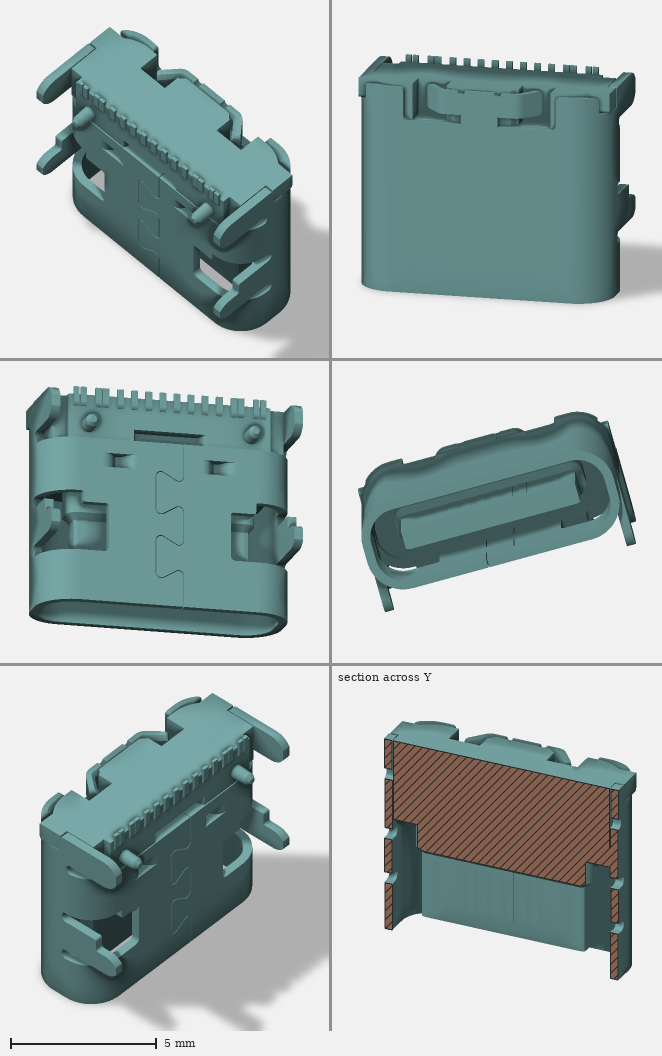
import cadquery as cq
import math


EPS = 0.02
FAR = 10.73

width = 8.94
depth = 3.16
corner_radius = 1.28
wall = 0.31
side_top = 7.35
back_top = 7.28
front_top = 5.81
lip_width = 0.12
lip_height = 0.16
rim_radius = 0.125
half_width = width / 2
half_depth = depth / 2
inner_x = half_width - wall
inner_y = half_depth - wall
inner_radius = corner_radius - wall
corner_center_x = half_width - corner_radius

leg_tip_y = -2.575
leg_slot_height = 0.4
slot_end_radius = 0.18
upper_leg_bottom = 6.21
upper_leg_root_y = -0.295
upper_leg_tip_height = 0.43
upper_leg_tip_length = 0.58
lower_leg_bottom = 2.19
lower_leg_top = 3.505
lower_leg_root_y = -0.08
lower_leg_neck_top = 3.0
lower_leg_shoulder_y = -1.66
shoulder_radius = 0.08
lower_leg_tip_height = 0.35
lower_leg_tip_length = 0.48

window_bottom = lower_leg_bottom - leg_slot_height
window_top = lower_leg_top + leg_slot_height
window_inner_x = 2.16
window_step_x = 3.07
window_radius = 0.18
window_step_radius = 0.08
window_back_y = lower_leg_root_y - slot_end_radius
window_corner_radius = 0.11

seam_x = 0.49
seam_gap = 0.03
seam_angle = 30.0
seam_radius = 0.18
seam_first_tooth_top = 4.92
seam_tooth_length = 1.78
seam_pitch = 2.29
seam_tooth_count = 2

groove_x = 1.75
groove_bottom = 4.81
groove_height = 0.5
groove_floor_width = 0.2
groove_depth = 0.4
groove_outer_radius = 0.5
groove_outer_angle = 61.0
groove_outer_run = 0.1
groove_inner_radius = 0.375
groove_inner_angle = 55.0
groove_inner_run = 0.19

slot_half_width = 2.71
slot_floor = 6.08
slot_radius = 0.21
spring_bottom = 6.44
spring_stem_half = 0.64
spring_notch_radius = 0.125
spring_bend_x = 1.4
spring_angle = 50.0
spring_wing_length = 0.98
spring_bend_radius = 0.45
spring_corner_radius = 0.13

housing_bottom = 4.29
housing_half_width = 4.12
housing_front = -1.54
housing_step_x = 3.585
housing_step_y = -1.23
ear_half_width = 4.45
ear_back = 0.95
ear_front = -0.01
ear_bottom = 6.65
ear_radius = 0.13
notch_back = 1.16
arch_rim_x = 4.02
pocket_x = 1.86
pocket_width = 1.19
pocket_front = 0.45
pocket_bevel = 0.17
pocket_step = 0.06
pocket_floor = 6.08
arch_start_x = 2.99
arch_middle_x = 3.42
arch_middle_y = 1.15
arch_end_x = 3.77
recess_half_width = 1.27
recess_floor_half_width = 1.11
recess_top = 6.22
recess_depth = 0.45

base_half_width = 3.34
base_half_thick = 0.61
base_edge_radius = 0.4
base_end = 3.415
tongue_half_width = 3.1
tongue_half_thick = 0.37
tongue_bevel_width = 0.13
tongue_bevel_drop = 0.04
tongue_slope_end = 3.18
tongue_tip = 0.715
contact_pitch = 0.5
contact_width = 0.295
contact_height = 0.01
contact_tip = 1.25
contact_places = (-5.5, -2.5, -1.5, -0.5, 0.5, 1.5, 2.5, 5.5)

tail_top = 7.6
tail_bottom = 6.9
tail_front = -1.63
tail_thick = 0.12
outer_tail_width = 0.2
single_tail_count = 8
single_tail_width = 0.22
tail_bend_radius = 0.19
tail_root_depth = 0.22
pair_pitch = contact_pitch / 2
inner_pair_x = 2.405
outer_pair_x = 3.19
peg_x = 2.89
peg_z = 6.28
peg_root_radius = 0.26
peg_end_radius = 0.22
peg_tip_radius = 0.12
peg_shoulder_y = -2.14
peg_tip_y = -2.29


def box(x0, x1, y0, y1, z0, z1):
    """Box between two corners."""
    return cq.Workplane("XY").box(x1 - x0, y1 - y0, z1 - z0, centered=False).translate((x0, y0, z0))


def edge_at(x, y, z):
    """Selector for the edge whose middle is nearest to a point."""
    return cq.selectors.NearestToPointSelector((x, y, z))


def both_sides(body):
    """The body together with its mirror image across X = 0."""
    return body.union(body.mirror("YZ"))


def racetrack(offset, z0, z1):
    """Rounded rectangle prism, the shell outline moved inward by offset."""
    size_x = width - 2 * offset
    size_y = depth - 2 * offset
    block = box(-size_x / 2, size_x / 2, -size_y / 2, size_y / 2, z0, z1)
    return block.edges("|Z").fillet(corner_radius - offset)


def tip_arc_middle(start, end):
    """Point halfway along the arc that leaves start parallel to Y and reaches end."""
    run = abs(end[0] - start[0])
    drop = abs(end[1] - start[1])
    radius = (run**2 + drop**2) / (2 * drop)
    half_angle = math.asin(run / radius) / 2
    y = start[0] - radius * math.sin(half_angle)
    rise = radius * (1 - math.cos(half_angle))
    return (y, start[1] + math.copysign(rise, end[1] - start[1]))


def leg(path, bottom, neck_top, tip_length, tip_height):
    """Close an outline that starts with path, adding the rounded leg tip."""
    middle = (bottom + neck_top) / 2
    tip_start = leg_tip_y + tip_length
    upper = [(tip_start, neck_top), (leg_tip_y, middle + tip_height / 2)]
    lower = [(tip_start, bottom), (leg_tip_y, middle - tip_height / 2)]
    outline = (
        cq.Workplane("YZ")
        .polyline(path + [upper[0]])
        .threePointArc(tip_arc_middle(*upper), upper[1])
        .lineTo(*lower[1])
        .threePointArc(tip_arc_middle(*lower), lower[0])
        .lineTo(path[0][0], bottom)
        .close()
    )
    return outline.extrude(wall).translate((-half_width, 0, 0))


def legs():
    """Flat solder legs that continue the side walls forward, two on each side."""
    leg_middle_x = -half_width + wall / 2
    upper_root = upper_leg_root_y + EPS
    upper = leg([(upper_root, side_top)], upper_leg_bottom, side_top,
                upper_leg_tip_length, upper_leg_tip_height)
    lower_path = [
        (lower_leg_root_y + EPS, lower_leg_top),
        (lower_leg_shoulder_y, lower_leg_top),
        (lower_leg_shoulder_y, lower_leg_neck_top),
    ]
    lower = leg(lower_path, lower_leg_bottom, lower_leg_neck_top,
                lower_leg_tip_length, lower_leg_tip_height)
    for z in (lower_leg_top, lower_leg_neck_top):
        corner = edge_at(leg_middle_x, lower_leg_shoulder_y, z)
        lower = lower.edges("|X").edges(corner).fillet(shoulder_radius)
    return both_sides(upper.union(lower))


def leg_slot(root_y, bottom):
    """Slot beside a leg on the -X side, from a rounded end out through the front."""
    slot = box(-FAR, -corner_center_x, -FAR, root_y, bottom, bottom + leg_slot_height)
    return slot.edges("|X and >Y").fillet(slot_end_radius)


def window():
    """Front window on the -X side, with a step in its top edge."""
    lower = box(-FAR, -window_inner_x, -FAR, window_back_y, window_bottom, lower_leg_top)
    lower = lower.edges("|Y and >X and <Z").fillet(window_radius)
    lower = lower.edges("|Y and >X and >Z").fillet(window_corner_radius)
    upper = box(-FAR, -window_step_x, -FAR, window_back_y, lower_leg_top - window_radius, window_top)
    upper = upper.edges("|Y and >X and >Z").fillet(window_step_radius)
    opening = lower.union(upper)
    inner_corner = edge_at(-window_step_x, window_back_y, lower_leg_top)
    return opening.edges("|Y").edges(inner_corner).fillet(window_step_radius)


def seam():
    """Thin zigzag gap that locks the two ends of the wrapped sheet."""
    slant = 2 * seam_x * math.tan(math.radians(seam_angle))
    path = [(seam_x, FAR)]
    for tooth in range(seam_tooth_count):
        top = seam_first_tooth_top - tooth * seam_pitch
        bottom = top - seam_tooth_length
        path += [(seam_x, top - slant), (-seam_x, top), (-seam_x, bottom), (seam_x, bottom + slant)]
    path += [(seam_x, -FAR), (-FAR, -FAR), (-FAR, FAR)]
    sheet = cq.Workplane("XZ").polyline(path).close().wire().val()
    corners = [v for v in sheet.Vertices() if abs(v.Z) < front_top]
    rounded = sheet.fillet2D(seam_radius, corners)

    def left_of_seam(offset):
        return cq.Workplane("XZ").add(rounded).toPending().offset2D(offset).extrude(FAR)

    return left_of_seam(seam_gap / 2).cut(left_of_seam(-seam_gap / 2))


def shell():
    """Wrapped sheet-metal sleeve with its cuts, legs and spring."""
    body = racetrack(0, 0, side_top).cut(racetrack(wall, -0.09, side_top + 0.09))
    body = body.cut(box(-FAR, FAR, notch_back, FAR, back_top, FAR))
    lip_outline = (
        cq.Sketch()
        .rect(2 * (inner_x + lip_width), 2 * (inner_y + lip_width))
        .vertices()
        .fillet(inner_radius + lip_width)
    )
    lip_angle = math.degrees(math.atan(lip_width / lip_height))
    rim_plane = cq.Workplane("XY", origin=(0, 0, back_top))
    lip = rim_plane.placeSketch(lip_outline).extrude(-lip_height, taper=lip_angle)
    body = body.cut(lip.intersect(box(-FAR, FAR, notch_back - wall, FAR, 0, FAR)))

    body = body.cut(box(-FAR, FAR, -FAR, upper_leg_root_y - slot_end_radius, front_top, FAR))
    notch = box(-FAR, -corner_center_x, ear_front, notch_back, ear_bottom, FAR)
    notch = notch.edges("|X and <Z").fillet(ear_radius)
    cuts = notch.union(leg_slot(upper_leg_root_y, front_top))
    cuts = cuts.union(leg_slot(lower_leg_root_y, window_bottom))
    cuts = cuts.union(leg_slot(lower_leg_root_y, lower_leg_top))
    cuts = cuts.union(window())
    body = body.cut(both_sides(cuts)).cut(seam())

    back_slot = box(-slot_half_width, slot_half_width, inner_y - lip_width, FAR, slot_floor, FAR)
    body = body.cut(back_slot.edges("|Y and <Z").fillet(slot_radius))
    for side in (-1, 1):
        slot_rim = edge_at(side * slot_half_width, half_depth - wall / 2, back_top)
        body = body.edges("|Y").edges(slot_rim).fillet(rim_radius)
        leg_rim = edge_at(side * (half_width - wall / 2), ear_front, side_top)
        body = body.edges("|X").edges(leg_rim).fillet(rim_radius)
        arch_rim = edge_at(side * arch_rim_x, notch_back, back_top)
        body = body.edges("|X").edges(arch_rim).fillet(rim_radius)
    return body.union(legs()).union(back_spring())


def spring_wing():
    """Wing on the -X side: flat along the back wall, then folded inward."""
    angle = math.radians(spring_angle)
    along = (-math.cos(angle), -math.sin(angle))
    across = (math.sin(angle), -math.cos(angle))
    end_x = -spring_bend_x + spring_wing_length * along[0]
    end_y = half_depth + spring_wing_length * along[1]
    inner_bend_x = -spring_bend_x + wall * math.tan(angle / 2)
    outline = [
        (0, half_depth),
        (-spring_bend_x, half_depth),
        (end_x, end_y),
        (end_x + wall * across[0], end_y + wall * across[1]),
        (inner_bend_x, inner_y),
        (0, inner_y),
    ]
    middle_z = (spring_bottom + back_top) / 2
    wing = cq.Workplane("XY").polyline(outline).close().extrude(back_top - spring_bottom)
    wing = wing.translate((0, 0, spring_bottom))
    wing = wing.edges("|Z").edges(edge_at(-spring_bend_x, half_depth, middle_z)).fillet(spring_bend_radius)
    wing = wing.edges("|Z").edges(edge_at(inner_bend_x, inner_y, middle_z)).fillet(spring_bend_radius - wall)
    inner_edge = edge_at(inner_bend_x / 2, inner_y, back_top)
    wing = wing.edges(inner_edge).chamfer(lip_height, lip_width)
    end_middle = (end_x + wall / 2 * across[0], end_y + wall / 2 * across[1])
    for z in (spring_bottom, back_top):
        wing = wing.edges(edge_at(*end_middle, z)).fillet(spring_corner_radius)
    return wing


def back_spring():
    """Spring in the back slot: two wings carried by a stem, with a notch on each side."""
    wing = spring_wing()
    notch_plane = cq.Workplane("XZ", origin=(-spring_stem_half, 0, back_top))
    notch = notch_plane.circle(spring_notch_radius).extrude(-FAR)
    stem = box(-spring_stem_half, EPS, inner_y, half_depth, slot_floor - EPS, spring_bottom + EPS)
    return both_sides(wing.cut(notch).union(stem))


def housing_outline(front_y, z0, z1):
    """Prism with arched back corners and straight sides."""
    half = (
        cq.Workplane("XY", origin=(0, 0, z0))
        .moveTo(0, inner_y)
        .lineTo(-arch_start_x, inner_y)
        .threePointArc((-arch_middle_x, arch_middle_y), (-arch_end_x, ear_back))
        .lineTo(-arch_end_x, 0)
        .lineTo(-housing_half_width, 0)
        .lineTo(-housing_half_width, housing_step_y)
        .lineTo(-housing_step_x, housing_step_y)
        .lineTo(-housing_step_x, front_y)
        .lineTo(0, front_y)
        .close()
        .extrude(z1 - z0)
    )
    return both_sides(half)


def spring_pockets():
    """Pockets that give the folded spring wings room to move."""
    right = -pocket_x + pocket_width / 2
    left = right - pocket_width
    pocket = box(left, right, pocket_front, FAR, pocket_floor, FAR)
    flare_start = inner_y - pocket_bevel
    side_flare = [
        (right, flare_start),
        (right + pocket_step, flare_start),
        (right + pocket_step + pocket_bevel, inner_y),
        (right, inner_y),
    ]
    floor_bevel = [(flare_start, 0), (inner_y, -pocket_bevel), (inner_y, 0)]
    floor_plane = cq.Workplane("XY", origin=(0, 0, pocket_floor))
    side_plane = cq.Workplane("YZ", origin=(left, 0, pocket_floor))
    pocket = pocket.union(floor_plane.polyline(side_flare).close().extrude(FAR))
    pocket = pocket.union(side_plane.polyline(floor_bevel).close().extrude(pocket_width))
    return both_sides(pocket)


def front_recess():
    """Tapered recess just above the front wall."""
    recess = [
        (-recess_half_width, housing_front),
        (-recess_floor_half_width, housing_front + recess_depth),
        (recess_floor_half_width, housing_front + recess_depth),
        (recess_half_width, housing_front),
    ]
    floor_plane = cq.Workplane("XY", origin=(0, 0, front_top))
    return floor_plane.polyline(recess).close().extrude(recess_top - front_top)


def housing():
    """Plastic block that closes the top of the shell, with an ear over each side wall."""
    lower = housing_outline(-inner_y, housing_bottom, front_top + EPS)
    lower = lower.intersect(racetrack(wall, 0, side_top))
    upper = housing_outline(housing_front, front_top, side_top)
    ear = box(-ear_half_width, -arch_end_x + EPS, ear_front, ear_back, ear_bottom, side_top)
    ear = ear.edges("|X and <Z").fillet(ear_radius)
    body = lower.union(upper).union(both_sides(ear))
    return body.cut(spring_pockets()).cut(front_recess())


def front_grooves():
    """Grooves with two convex flanks, open at the front face."""
    face = -half_depth
    half_floor = groove_floor_width / 2

    def flank(radius, degrees):
        """Width and depth of an arc that starts flat and turns to the given slope."""
        angle = math.radians(degrees)
        return radius * math.sin(angle), radius * (1 - math.cos(angle))

    outer_foot = -half_floor - groove_outer_run
    outer_width, outer_drop = flank(groove_outer_radius, groove_outer_angle)
    outer_mid = flank(groove_outer_radius, groove_outer_angle / 2)
    inner_foot = half_floor + groove_inner_run
    inner_width, inner_drop = flank(groove_inner_radius, groove_inner_angle)
    inner_mid = flank(groove_inner_radius, groove_inner_angle / 2)
    outer_rim = outer_foot - outer_width
    inner_rim = inner_foot + inner_width
    groove = (
        cq.Workplane("XY", origin=(-groove_x, 0, groove_bottom))
        .moveTo(outer_rim, face)
        .threePointArc((outer_rim + outer_mid[0], face + outer_mid[1]), (outer_foot, face + outer_drop))
        .lineTo(-half_floor, face + groove_depth)
        .lineTo(half_floor, face + groove_depth)
        .lineTo(inner_foot, face + inner_drop)
        .threePointArc((inner_rim - inner_mid[0], face + inner_mid[1]), (inner_rim, face))
        .close()
        .extrude(groove_height)
    )
    return both_sides(groove)


def tongue():
    """Stepped tongue with contact strips on both faces."""
    base = box(-base_half_width, base_half_width, -base_half_thick, base_half_thick,
               tongue_slope_end, housing_bottom + EPS)
    base = base.edges("|Z").fillet(base_edge_radius)
    base = base.faces("<Z").chamfer(base_end - tongue_slope_end, base_half_thick - tongue_half_thick)

    quarter = [
        (0, 0),
        (-tongue_half_width, 0),
        (-tongue_half_width, tongue_half_thick - tongue_bevel_drop),
        (-tongue_half_width + tongue_bevel_width, tongue_half_thick),
        (0, tongue_half_thick),
    ]
    blade = cq.Workplane("XY").polyline(quarter).close().extrude(housing_bottom - tongue_tip)
    blade = both_sides(blade.union(blade.mirror("XZ")))
    body = base.union(blade.translate((0, 0, tongue_tip)))
    contact_y = tongue_half_thick + contact_height
    for place in contact_places:
        x = place * contact_pitch
        body = body.union(box(x - contact_width / 2, x + contact_width / 2, -contact_y, contact_y,
                              contact_tip, tongue_slope_end + EPS))
    return body


def tail(x, tail_width):
    """Flat solder tail whose lower outer edge is rounded where it leaves the housing."""
    left, right = x - tail_width / 2, x + tail_width / 2
    root = box(left, right, tail_front, tail_front + tail_root_depth, tail_bottom, side_top - EPS)
    root = root.edges("|X and <Y and <Z").fillet(tail_bend_radius)
    return root.union(box(left, right, tail_front, tail_front + tail_thick, side_top - 2 * EPS, tail_top))


def tails():
    """Evenly spaced single tails flanked by two close pairs on each side."""
    body = cq.Workplane("XY")
    for index in range(single_tail_count // 2):
        body = body.add(tail((index + 0.5) * contact_pitch, single_tail_width))
    for side in (-0.5, 0.5):
        body = body.add(tail(inner_pair_x + side * pair_pitch, single_tail_width))
        body = body.add(tail(outer_pair_x + side * pair_pitch, outer_tail_width))
    return both_sides(body.combine())


def pegs():
    """Tapered locating pegs with bevelled tips."""
    profile = [
        (0, housing_front + EPS),
        (peg_root_radius, housing_front + EPS),
        (peg_end_radius, peg_shoulder_y),
        (peg_tip_radius, peg_tip_y),
        (0, peg_tip_y),
    ]
    peg = cq.Workplane("XY").polyline(profile).close().revolve(360, (0, 0, 0), (0, 1, 0))
    return both_sides(peg.translate((-peg_x, 0, peg_z)))


result = shell().union(housing()).cut(front_grooves()).union(tongue()).union(tails()).union(pegs())